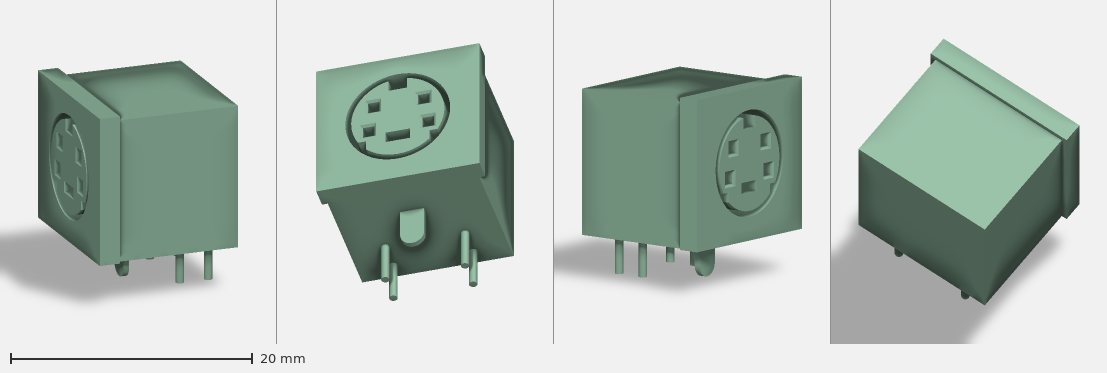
import cadquery as cq

flange_width = 14.0
flange_height = 12.8
flange_thickness = 1.8
body_width = 13.0
body_height = 12.3
overall_depth = 12.5
overall_height = 16.3

socket_height = 6.5
groove_diameter = 9.0
core_diameter = 8.0
socket_depth = 7.01
top_key_width = 1.6
top_key_floor = 2.9
side_key_inner = 2.72
side_key_top = -2.09

contact_size = 1.0
contact_lead_in = 0.2
contact_positions = [(-2.12, 1.55), (2.18, 1.55), (-2.56, -0.96), (2.56, -0.96)]
slot_width = 2.09
slot_height = 1.0
slot_center = -2.02

leg_length = overall_height - flange_height
pin_diameter = 0.7
pin_offset = 3.42
pin_rows = [8.52, 11.04]
tab_width = 2.05
tab_thickness = 0.5
tab_center = 4.71


def block(width, height, depth, x=0, z=0, y=0):
    """Box centred on (x, z) that runs back from the plane at y."""
    return cq.Workplane("XY").box(width, depth, height).translate((x, y + depth / 2, z))


def cylinder(diameter):
    """Cylinder as deep as the socket, on the socket axis."""
    profile = cq.Workplane("XZ", origin=(0, 0, socket_height)).circle(diameter / 2)
    return profile.extrude(-socket_depth)


def make_housing():
    flange = block(flange_width, flange_height, flange_thickness, z=flange_height / 2)
    body = block(body_width, body_height, overall_depth, z=body_height / 2)
    return flange.union(body)


def make_core():
    """Socket core with one key notch at the top and one at each lower side."""
    radius = core_diameter / 2
    core = cylinder(core_diameter)
    top_height = radius - top_key_floor
    top_z = socket_height + top_key_floor + top_height / 2
    core = core.cut(block(top_key_width, top_height, socket_depth, z=top_z))
    side_width = radius - side_key_inner
    side_height = radius + side_key_top
    side_z = socket_height + side_key_top - side_height / 2
    for side in (-1, 1):
        side_x = side * (side_key_inner + side_width / 2)
        core = core.cut(block(side_width, side_height, socket_depth, x=side_x, z=side_z))
    return core


def make_contact_opening(x, z):
    """Square hole with a 45 degree lead-in at the front."""
    mouth_size = contact_size + 2 * contact_lead_in
    hole = block(contact_size, contact_size, socket_depth, x, z)
    lead_in = (
        cq.Workplane("XZ", origin=(x, 0, z))
        .rect(mouth_size, mouth_size)
        .workplane(offset=-contact_lead_in)
        .rect(contact_size, contact_size)
        .loft(ruled=True)
    )
    return hole.union(lead_in)


def make_pins():
    points = [(side * pin_offset, y) for side in (-1, 1) for y in pin_rows]
    return cq.Workplane("XY").pushPoints(points).circle(pin_diameter / 2).extrude(-leg_length)


def make_tab():
    """Flat tab with a fully rounded lower end."""
    half_width = tab_width / 2
    arc_start = half_width - leg_length
    return (
        cq.Workplane("XZ", origin=(0, tab_center - tab_thickness / 2, 0))
        .moveTo(-half_width, 0)
        .lineTo(-half_width, arc_start)
        .threePointArc((0, -leg_length), (half_width, arc_start))
        .lineTo(half_width, 0)
        .close()
        .extrude(-tab_thickness)
    )


groove = cylinder(groove_diameter).cut(make_core())
result = make_housing().cut(groove)
for contact_x, contact_z in contact_positions:
    result = result.cut(make_contact_opening(contact_x, socket_height + contact_z))
result = result.cut(block(slot_width, slot_height, socket_depth, z=socket_height + slot_center))
result = result.union(make_pins()).union(make_tab())